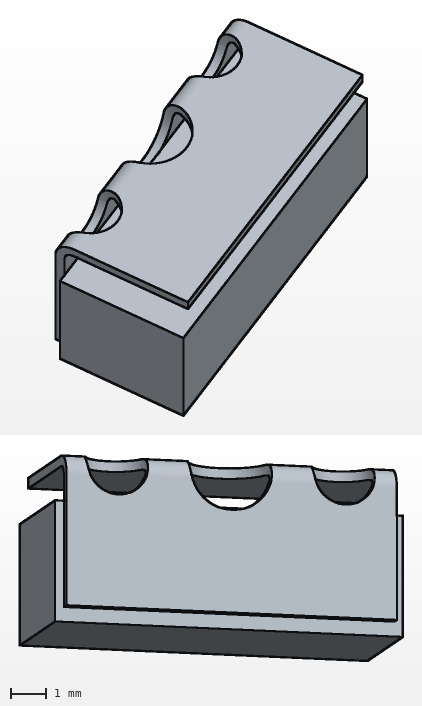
import cadquery as cq
import math

block_width = 4.0
block_length = 10.0
block_height = 3.43

overall_height = 4.75
sheet = 0.3
bend_inner = 0.3
screen_length = 9.5
leg_bottom = 0.42

side_opening_radius = 0.88
middle_opening_radius = 1.18
opening_spacing = 3.26

overall_width = sheet + block_width
bend_outer = bend_inner + sheet
bend_z = overall_height - bend_outer
bend_mid = (bend_inner + bend_outer) / 2
half_bend = bend_mid * math.pi / 4
margin = 0.05


def make_block():
    return cq.Workplane("XY").box(
        block_width, block_length, block_height, centered=(False, True, False)
    ).translate((sheet, 0, 0))


def make_screen():
    """Bent strip: leg, quarter-round bend and cover, extruded along Y."""
    diagonal = math.sqrt(0.5)

    def bend_middle(radius):
        return (bend_outer - radius * diagonal, bend_z + radius * diagonal)

    return (
        cq.Workplane("XZ", origin=(0, screen_length / 2, 0))
        .moveTo(0, leg_bottom)
        .lineTo(0, bend_z)
        .threePointArc(bend_middle(bend_outer), (bend_outer, overall_height))
        .lineTo(overall_width, overall_height)
        .lineTo(overall_width, overall_height - sheet)
        .lineTo(bend_outer, overall_height - sheet)
        .threePointArc(bend_middle(bend_inner), (sheet, bend_z))
        .lineTo(sheet, leg_bottom)
        .close()
        .extrude(screen_length)
    )


def half_opening(flat_distance, radius):
    """Half width of an opening at a flat distance from its centre."""
    return math.sqrt(radius**2 - flat_distance**2)


def bend_cutter(y, radius):
    """Wedge with radial walls that follow the flat circle wrapped around the bend."""
    steps = 8
    inner = bend_inner - margin
    outer = bend_outer + margin

    def wall_edge(distance, side):
        points = []
        for i in range(steps + 1):
            angle = math.pi / 2 * i / steps
            flat_distance = bend_mid * angle - half_bend
            points.append(cq.Vector(
                bend_outer - distance * math.cos(angle),
                y + side * half_opening(flat_distance, radius),
                bend_z + distance * math.sin(angle),
            ))
        return cq.Edge.makeSpline(points)

    def end_edge(distance, at_cover):
        half = half_opening(half_bend, radius)
        x = bend_outer if at_cover else bend_outer - distance
        z = bend_z + distance if at_cover else bend_z
        return cq.Edge.makeLine(cq.Vector(x, y - half, z), cq.Vector(x, y + half, z))

    edge_pairs = [
        (wall_edge(inner, -1), wall_edge(inner, 1)),
        (wall_edge(outer, -1), wall_edge(outer, 1)),
        (wall_edge(inner, -1), wall_edge(outer, -1)),
        (wall_edge(inner, 1), wall_edge(outer, 1)),
        (end_edge(inner, False), end_edge(outer, False)),
        (end_edge(inner, True), end_edge(outer, True)),
    ]
    faces = [cq.Face.makeRuledSurface(first, second) for first, second in edge_pairs]
    return cq.Workplane(cq.Solid.makeSolid(cq.Shell.makeShell(faces)).fix())


def flat_cutters(y, radius):
    """Circle segments of an opening that reach into the cover and down the leg."""
    half = half_opening(half_bend, radius)
    reach = radius - half_bend
    depth = sheet + 2 * margin
    cover = (
        cq.Workplane("XY", origin=(0, 0, overall_height - sheet - margin))
        .moveTo(bend_outer, y - half)
        .threePointArc((bend_outer + reach, y), (bend_outer, y + half))
        .close()
        .extrude(depth)
    )
    leg = (
        cq.Workplane("YZ", origin=(-margin, 0, 0))
        .moveTo(y - half, bend_z)
        .threePointArc((y, bend_z - reach), (y + half, bend_z))
        .close()
        .extrude(depth)
    )
    return cover, leg


screen = make_screen()
openings = [
    (-opening_spacing, side_opening_radius),
    (0, middle_opening_radius),
    (opening_spacing, side_opening_radius),
]
for opening_y, opening_radius in openings:
    cover_cutter, leg_cutter = flat_cutters(opening_y, opening_radius)
    screen = screen.cut(bend_cutter(opening_y, opening_radius)).cut(cover_cutter).cut(leg_cutter)

result = make_block().union(screen)